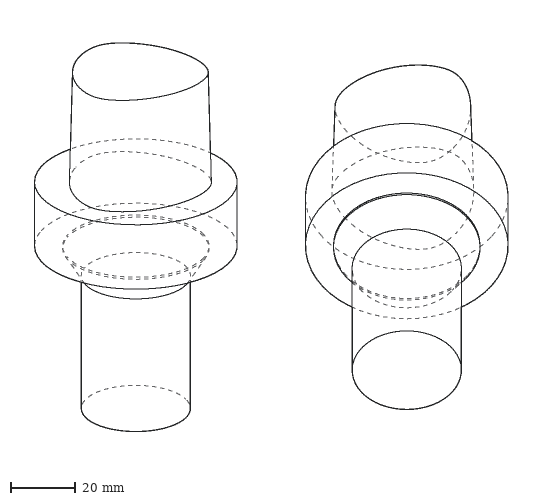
import cadquery as cq
import math

flange_diameter = 63.0
flange_thickness = 22.1
total_length = 118.0
shank_height = 37.8
shank_base_width = 44.1
shank_slope = 1 / 40
shank_eccentricity = 1.4
neck_diameter = 45.5
neck_lip = 0.7
stem_diameter = 34.0
cone_height = 9.4
tip_diameter = 15.6
tip_height = 2.5
profile_points = 48

flange_bottom = -flange_thickness
cone_top = flange_bottom - neck_lip
cone_bottom = cone_top - cone_height
tip_bottom = shank_height - total_length
tip_top = tip_bottom + tip_height


def polygon_outline(width):
    """Points of a rounded triangle of constant width, with one corner towards -Y."""
    points = []
    for i in range(profile_points):
        angle = 2 * math.pi * i / profile_points
        along = (width / 2 * math.cos(angle) + 2 * shank_eccentricity * math.cos(2 * angle)
                 - shank_eccentricity * math.cos(4 * angle))
        across = (width / 2 * math.sin(angle) - 2 * shank_eccentricity * math.sin(2 * angle)
                  - shank_eccentricity * math.sin(4 * angle))
        points.append((across, -along))
    return points


def tapered_shank():
    top_width = shank_base_width - 2 * shank_slope * shank_height
    return (
        cq.Workplane("XY")
        .spline(polygon_outline(shank_base_width), periodic=True).close()
        .workplane(offset=shank_height)
        .spline(polygon_outline(top_width), periodic=True).close()
        .loft(ruled=True, combine=True)
    )


def turned_body():
    """Flange, conical neck, stem and tapered tip, revolved about Z."""
    return (
        cq.Workplane("XZ")
        .moveTo(0, 0)
        .lineTo(flange_diameter / 2, 0)
        .lineTo(flange_diameter / 2, flange_bottom)
        .lineTo(neck_diameter / 2, flange_bottom)
        .lineTo(neck_diameter / 2, cone_top)
        .lineTo(stem_diameter / 2, cone_bottom)
        .lineTo(stem_diameter / 2, tip_top)
        .lineTo(tip_diameter / 2, tip_bottom)
        .lineTo(0, tip_bottom)
        .close()
        .revolve(360, (0, 0, 0), (0, 1, 0))
    )


result = turned_body().union(tapered_shank())